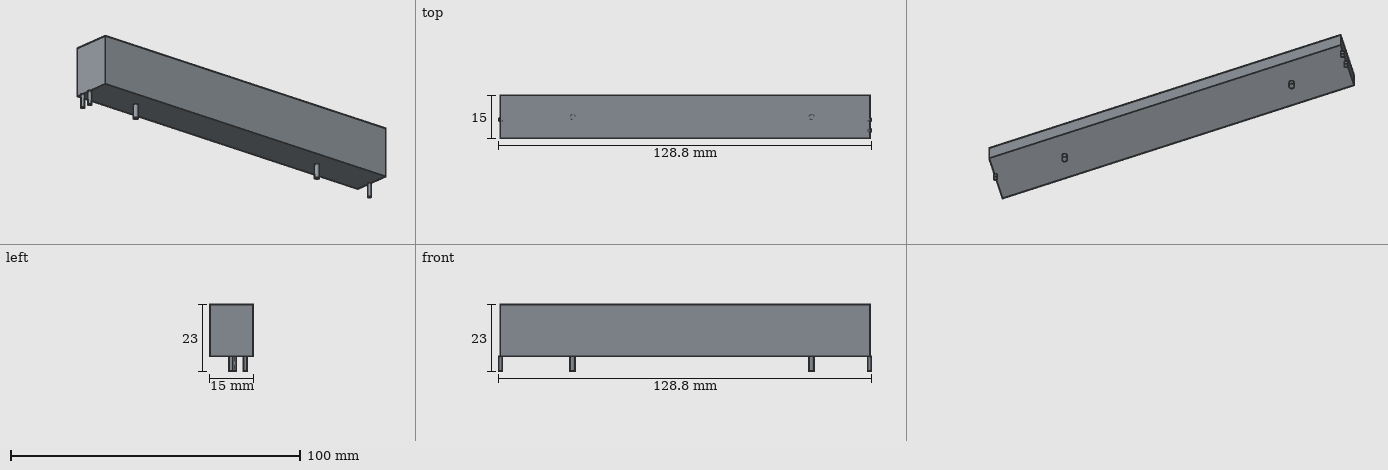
import cadquery as cq

overall_length = 128.8
housing_length = 127.9
housing_width = 15.0
housing_height = 18.0

pin_length = 5.0
end_pin_diameter = 1.3
inner_pin_diameter = 1.8

end_pin_x = (overall_length - end_pin_diameter) / 2
end_pin_y = -1.0
extra_end_pin_y = -4.8
inner_pin_y = 0.0
left_inner_pin_x = -38.9
right_inner_pin_x = 43.7

end_pin_places = [
    (-end_pin_x, end_pin_y),
    (end_pin_x, end_pin_y),
    (end_pin_x, extra_end_pin_y),
]
inner_pin_places = [
    (left_inner_pin_x, inner_pin_y),
    (right_inner_pin_x, inner_pin_y),
]


def make_housing():
    """Plain rectangular block standing on Z = 0."""
    return cq.Workplane("XY").box(
        housing_length, housing_width, housing_height, centered=(True, True, False)
    )


def make_pin(place, diameter):
    """Round pin hanging from the plane of the housing underside."""
    x, y = place
    return cq.Workplane("XY").center(x, y).circle(diameter / 2).extrude(-pin_length)


housing = make_housing()
end_pins = [make_pin(place, end_pin_diameter) for place in end_pin_places]
inner_pins = [make_pin(place, inner_pin_diameter) for place in inner_pin_places]

result = cq.Compound.makeCompound(
    [housing.val()] + [pin.val() for pin in end_pins + inner_pins]
)